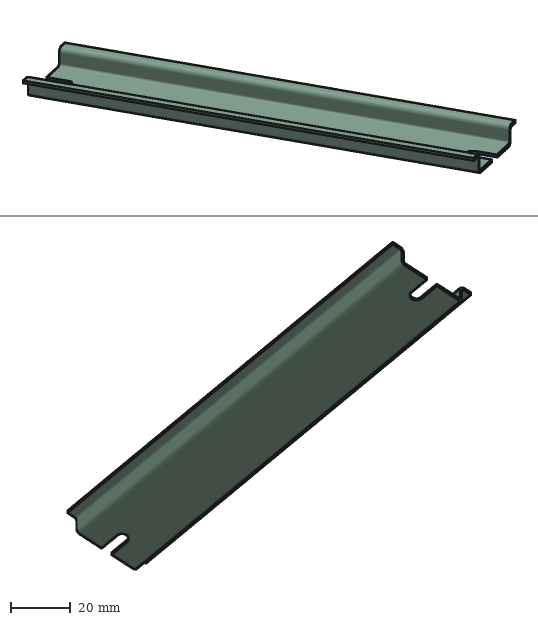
import cadquery as cq

length = 164.0
overall_width = 35.0
height = 7.5
thickness = 1.0
channel_width = 27.0
inner_bend_radius = 0.8
slot_width = 4.5
slot_depth = 10.0

outer_bend_radius = inner_bend_radius + thickness
half_channel = channel_width / 2
half_inside = half_channel - thickness
pick_margin = thickness / 4


def box(width, bottom, top):
    """Full-length block centred on the rail, between two heights."""
    return (
        cq.Workplane("XY", origin=(0, 0, bottom))
        .box(length, width, top - bottom, centered=(True, True, False))
    )


def lengthwise_edges_at(body, half_span, level):
    """The pair of lengthwise edges at Y = +/- half_span and Z = level."""
    return body.edges("|X").edges(
        cq.selectors.BoxSelector(
            (-length, -half_span - pick_margin, level - pick_margin),
            (length, -half_span + pick_margin, level + pick_margin),
        )
        + cq.selectors.BoxSelector(
            (-length, half_span - pick_margin, level - pick_margin),
            (length, half_span + pick_margin, level + pick_margin),
        )
    )


def make_rail():
    """Bent-sheet section: base, two side walls and two outward flanges."""
    channel = box(channel_width, 0, height)
    flanges = box(overall_width, height - thickness, height)
    rail = channel.union(flanges).cut(box(2 * half_inside, thickness, height))
    bends = (
        (half_channel, 0, outer_bend_radius),
        (half_inside, thickness, inner_bend_radius),
        (half_channel, height - thickness, inner_bend_radius),
        (half_inside, height, outer_bend_radius),
    )
    for half_span, level, radius in bends:
        rail = lengthwise_edges_at(rail, half_span, level).fillet(radius)
    return rail


def make_end_slot(side):
    """Round-ended cutter, open at the rail end on the given side (-1 or +1)."""
    return (
        cq.Workplane("XY")
        .center(side * length / 2, 0)
        .slot2D(2 * slot_depth, slot_width)
        .extrude(height)
    )


result = make_rail()
for side in (-1, 1):
    result = result.cut(make_end_slot(side))